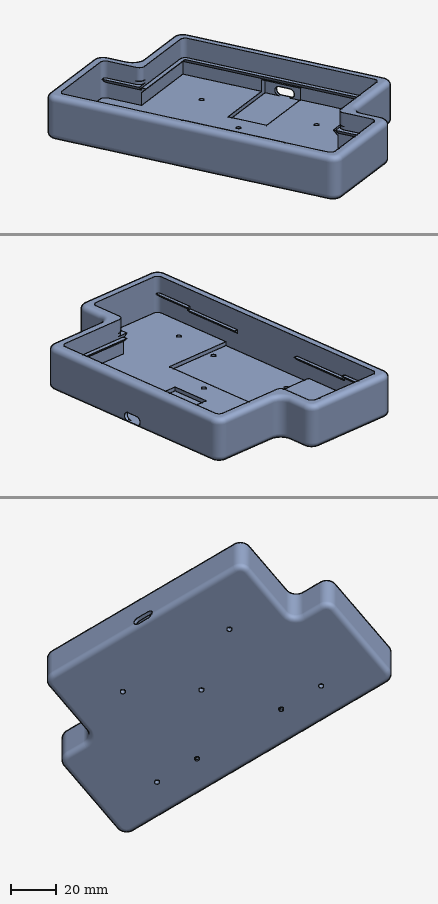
import cadquery as cq

LENGTH = 145.4
DEPTH = 88.2
HEIGHT = 20.6
HEAD_LENGTH = 107.1
BASE_DEPTH = 50.1
CORNER_RADIUS = 5.0
EDGE_RADIUS = 2.5

WALL = 5.0
FLOOR = 3.0
CAVITY_RADIUS = 2.5

SEAT_TOP = 14.1
SEAT_SHOULDER_RADIUS = 3.0

HEAD_RIB_TOP = 11.3
ARM_RIB_TOP = 12.5
RIB_WIDTH = 2.2
FRONT_RIB_WIDTH = 1.7
RIB_END_GAP = 0.7
FRONT_RIB_SPLIT = 47.7
FRONT_RIB_END = 18.3

RECESS_FLOOR = 1.2
SOCKET_LENGTH = 19.2
SOCKET_FRONT = 8.1
SOCKET_HEIGHT = 7.4
SOCKET_WALL = 1.7
DEVICE_LENGTH = 51.0
DEVICE_BACK = -4.2

OPENING_LENGTH = 9.6
OPENING_HEIGHT = 4.4

HOLE_DIAMETER = 2.2
HEAD_HOLES_X = 28.5
HEAD_HOLES_Y = 19.0
FRONT_HOLES_X = (22.5, 43.9)
FRONT_HOLES_Y = -28.5

FRONT = -DEPTH / 2
BACK = DEPTH / 2
SHOULDER = FRONT + BASE_DEPTH

INNER_BASE_X = LENGTH / 2 - WALL
INNER_HEAD_X = HEAD_LENGTH / 2 - WALL
INNER_FRONT = FRONT + WALL
INNER_BACK = BACK - WALL
INNER_SHOULDER = SHOULDER - WALL


def box(x_min, x_max, y_min, y_max, z_min, z_max):
    size = (x_max - x_min, y_max - y_min, z_max - z_min)
    return cq.Workplane("XY").box(*size, centered=False).translate((x_min, y_min, z_min))


def tee(inset, bottom, top, base_radius, shoulder_radius, back_radius):
    """T-shaped prism inset from the outline; a zero radius leaves those corners sharp."""
    base_x = LENGTH / 2 - inset
    head_x = HEAD_LENGTH / 2 - inset
    front_y = FRONT + inset
    shoulder_y = SHOULDER - inset
    back_y = BACK - inset
    prism = box(-base_x, base_x, front_y, shoulder_y, bottom, top)
    prism = prism.union(box(-head_x, head_x, front_y, back_y, bottom, top))
    corner_groups = (
        (base_radius, base_x, front_y),
        (base_radius, base_x, shoulder_y),
        (shoulder_radius, head_x, shoulder_y),
        (back_radius, head_x, back_y),
    )
    middle = (bottom + top) / 2
    for radius, x, y in corner_groups:
        if radius > 0:
            for side_x in (-x, x):
                edge = cq.selectors.NearestToPointSelector((side_x, y, middle))
                prism = prism.edges("|Z").edges(edge).fillet(radius)
    return prism


def rib_along_x(x_min, x_max, wall_y, tip_y, top):
    """Triangular rib on a wall that runs along X."""
    width = abs(tip_y - wall_y)
    profile = cq.Workplane("YZ").polyline([(wall_y, top), (tip_y, top), (wall_y, top - width)]).close()
    return profile.extrude(x_max - x_min).translate((x_min, 0, 0))


def rib_along_y(y_min, y_max, wall_x, tip_x, top):
    """Triangular rib on a wall that runs along Y."""
    width = abs(tip_x - wall_x)
    profile = cq.Workplane("XZ").polyline([(wall_x, top), (tip_x, top), (wall_x, top - width)]).close()
    return profile.extrude(y_min - y_max).translate((0, y_min, 0))


def mirrored(solid):
    return solid.union(solid.mirror("YZ"))


def make_shell():
    shell = tee(0, 0, HEIGHT, CORNER_RADIUS, CORNER_RADIUS, CORNER_RADIUS)
    return shell.faces("<Z or >Z").edges().fillet(EDGE_RADIUS)


def make_cavity():
    """The head corners are sharp below its ribs; the shoulder corners are sharp below the arm ribs."""
    lower = tee(WALL, FLOOR, HEAD_RIB_TOP, CAVITY_RADIUS, 0, 0)
    middle = tee(WALL, HEAD_RIB_TOP, ARM_RIB_TOP, CAVITY_RADIUS, 0, CAVITY_RADIUS)
    seat = tee(WALL, ARM_RIB_TOP, SEAT_TOP, CAVITY_RADIUS, SEAT_SHOULDER_RADIUS, CAVITY_RADIUS)
    upper = tee(WALL, SEAT_TOP, HEIGHT, CAVITY_RADIUS, CAVITY_RADIUS, CAVITY_RADIUS)
    return lower.union(middle).union(seat).union(upper)


def make_ribs():
    back = rib_along_x(-INNER_HEAD_X, INNER_HEAD_X, INNER_BACK, INNER_BACK - RIB_WIDTH, HEAD_RIB_TOP)
    side = rib_along_y(INNER_SHOULDER, INNER_BACK, INNER_HEAD_X, INNER_HEAD_X - RIB_WIDTH, HEAD_RIB_TOP)
    outer_end = INNER_BASE_X - RIB_END_GAP
    arm = rib_along_x(INNER_HEAD_X, outer_end, INNER_SHOULDER, INNER_SHOULDER - RIB_WIDTH, ARM_RIB_TOP)
    front_tip = INNER_FRONT + FRONT_RIB_WIDTH
    outer = rib_along_x(FRONT_RIB_SPLIT, outer_end, INNER_FRONT, front_tip, ARM_RIB_TOP)
    inner = rib_along_x(FRONT_RIB_END, FRONT_RIB_SPLIT, INNER_FRONT, front_tip, HEAD_RIB_TOP)
    return [back] + [mirrored(rib) for rib in (side, arm, outer, inner)]


def make_recesses():
    socket_top = RECESS_FLOOR + SOCKET_HEIGHT
    half_socket = SOCKET_LENGTH / 2
    half_device = DEVICE_LENGTH / 2
    socket = box(-half_socket, half_socket, SOCKET_FRONT, BACK - SOCKET_WALL, RECESS_FLOOR, socket_top)
    device = box(-half_device, half_device, INNER_FRONT, DEVICE_BACK, RECESS_FLOOR, FLOOR)
    return socket.union(device)


def make_opening():
    """Round-ended opening that rests on the floor of the socket recess."""
    center_z = RECESS_FLOOR + OPENING_HEIGHT / 2
    profile = cq.Workplane("XZ", origin=(0, BACK, center_z)).slot2D(OPENING_LENGTH, OPENING_HEIGHT)
    return profile.extrude(WALL)


def make_holes():
    points = [(0, 0)]
    for side in (-1, 1):
        points.append((side * HEAD_HOLES_X, HEAD_HOLES_Y))
        for x in FRONT_HOLES_X:
            points.append((side * x, FRONT_HOLES_Y))
    return cq.Workplane("XY").pushPoints(points).circle(HOLE_DIAMETER / 2).extrude(FLOOR)


result = make_shell().cut(make_cavity())
for rib in make_ribs():
    result = result.union(rib)
result = result.cut(make_recesses()).cut(make_opening()).cut(make_holes())